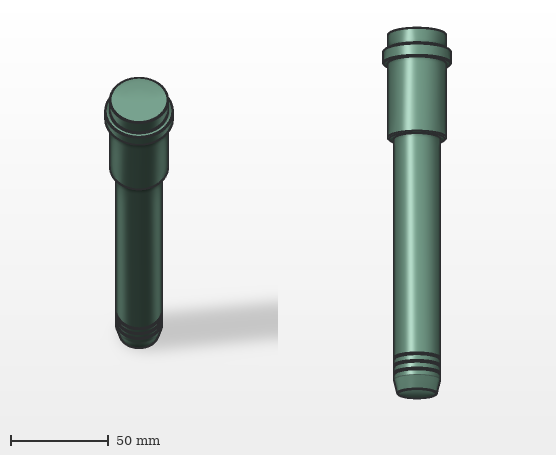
import cadquery as cq
import math

total_length = 190.0
flange_diameter = 35.0
body_diameter = 30.0
shank_diameter = 24.0

head_length = 9.0
flange_thickness = 6.6
body_length = 39.7

flange_chamfer = 0.48
body_chamfer = 0.8
head_chamfer = 0.48

relief_width = 1.1
relief_depth = 0.48

groove_count = 3
groove_width = 1.1
groove_depth = 0.48
groove_pitch = 4.0
lowest_groove_height = 10.5

taper_length = 7.5
taper_angle = 14.0
tip_chamfer = 0.4

flange_top = total_length - head_length
flange_bottom = flange_top - flange_thickness
body_bottom = flange_bottom - body_length
tip_diameter = shank_diameter - 2 * taper_length * math.tan(math.radians(taper_angle))


def cylinder(diameter, bottom, top):
    """Solid cylinder on the Z axis between two heights."""
    return cq.Workplane("XY").workplane(offset=bottom).circle(diameter / 2).extrude(top - bottom)


def vee_ring(diameter, depth, bottom, width):
    """Ring that cuts a V-shaped groove into a cylinder of the given diameter."""
    radius = diameter / 2
    return (
        cq.Workplane("XZ")
        .polyline([(radius, bottom), (radius - depth, bottom + width / 2), (radius, bottom + width)])
        .close()
        .revolve(360, (0, 0, 0), (0, 1, 0))
    )


def make_shank():
    """Shank with its tapered tip, running up into the body."""
    tip = (
        cq.Workplane("XY")
        .circle(tip_diameter / 2)
        .workplane(offset=taper_length)
        .circle(shank_diameter / 2)
        .loft()
        .faces("<Z")
        .chamfer(tip_chamfer)
    )
    return tip.union(cylinder(shank_diameter, taper_length, flange_bottom))


def make_body():
    """Body below the flange with a chamfered lower edge."""
    return cylinder(body_diameter, body_bottom, flange_bottom).faces("<Z").chamfer(body_chamfer)


def make_flange():
    """Locating flange with both rims chamfered."""
    return cylinder(flange_diameter, flange_bottom, flange_top).faces("<Z or >Z").chamfer(flange_chamfer)


def make_head():
    """Head with a relief groove where it meets the flange."""
    head = cylinder(body_diameter, flange_top, total_length).faces(">Z").chamfer(head_chamfer)
    return head.cut(vee_ring(body_diameter, relief_depth, flange_top, relief_width))


def cut_tip_grooves(pin):
    """Evenly spaced shallow grooves around the shank above the tip."""
    for index in range(groove_count):
        bottom = lowest_groove_height + index * groove_pitch - groove_width / 2
        pin = pin.cut(vee_ring(shank_diameter, groove_depth, bottom, groove_width))
    return pin


pin = make_shank().union(make_body()).union(make_flange()).union(make_head())
result = cut_tip_grooves(pin)